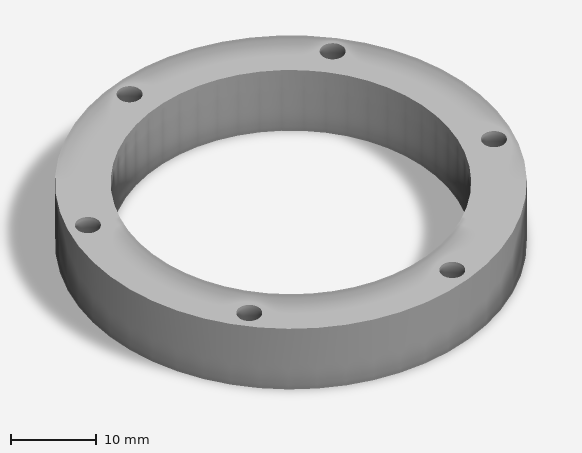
import cadquery as cq

outer_diameter = 55.0
bore_diameter = 42.0
thickness = 9.0

hole_count = 6
hole_diameter = 3.0
hole_circle_diameter = 50.0

ring = (
    cq.Workplane("XY")
    .circle(outer_diameter / 2)
    .circle(bore_diameter / 2)
    .extrude(thickness)
)

hole_cutters = (
    cq.Workplane("XY")
    .polarArray(hole_circle_diameter / 2, 0, 360, hole_count)
    .circle(hole_diameter / 2)
    .extrude(thickness)
)

result = ring.cut(hole_cutters)